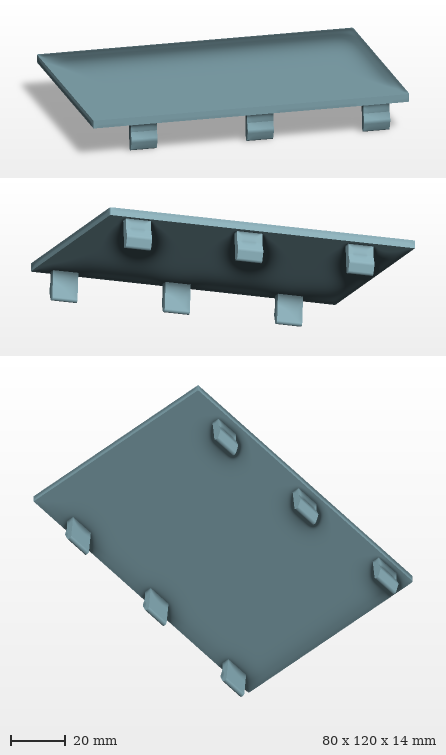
import cadquery as cq

plate_width = 80.0
plate_length = 120.0
plate_thickness = 3.0
corner_radius = 0.7

clip_width = 9.9
clip_height = 11.0
row_count = 3
row_pitch = 44.0
first_row_y = 48.0
first_row_inset = 2.02
inset_step = 0.6

root_thickness = 2.9
tip_thickness = 1.93
neck_depth = 3.8
bump_depth = 7.0
bump_height = 1.07
bump_radius = 2.0
tip_radius = 1.0

flank_slope = bump_height / (bump_depth - neck_depth)
tip_outer_x = (clip_height - bump_depth) * flank_slope - bump_height


def make_plate():
    """Flat rectangular plate with its two +Y corners rounded."""
    plate = cq.Workplane("XY").box(plate_width, plate_length, plate_thickness, centered=(True, True, False))
    return plate.edges("|Z and >Y").fillet(corner_radius)


def make_clip(row):
    """Tapered snap clip on the -X side, with a rounded outward bump and a rounded tip."""
    profile = [
        (0, 0),
        (0, -neck_depth),
        (-bump_height, -bump_depth),
        (tip_outer_x, -clip_height),
        (tip_thickness, -clip_height),
        (root_thickness, 0),
    ]
    clip = cq.Workplane("XZ").polyline(profile).close().extrude(clip_width / 2, both=True)
    clip = clip.edges("|Y and <X").fillet(bump_radius)
    clip = clip.faces("<Z").edges("|Y").fillet(tip_radius)
    neck_x = -plate_width / 2 + first_row_inset + row * inset_step
    clip_y = first_row_y - row * row_pitch
    return clip.translate((neck_x, clip_y, 0))


clips = [make_clip(row) for row in range(row_count)]
cover = make_plate()
for clip in clips:
    cover = cover.union(clip.mirror("YZ"))

result = cq.Compound.makeCompound([cover.val(), *[clip.val() for clip in clips]])